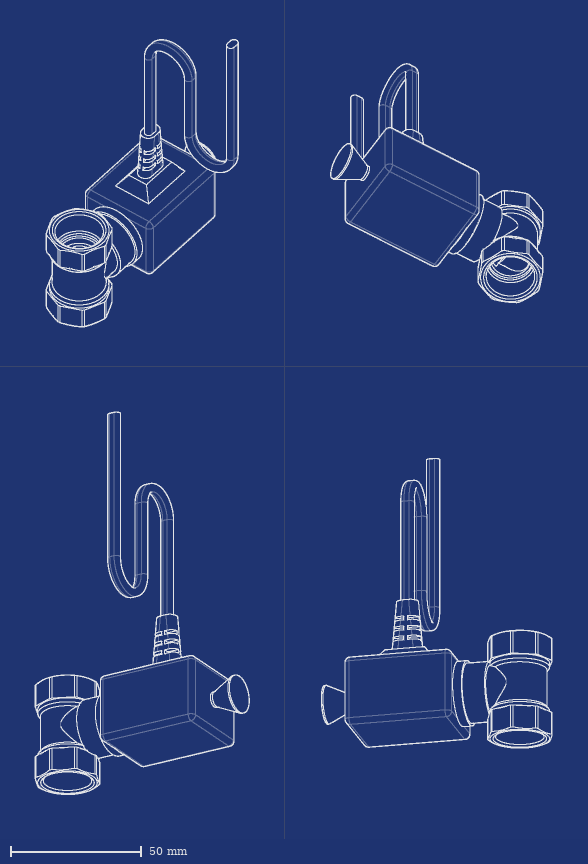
import cadquery as cq
import math


valve_height = 40.0
mid_z = valve_height / 2
body_diameter = 20.8
socket_height = 9.5
socket_flats = 23.7
socket_corner_diameter = 25.3
socket_rim_diameter = 22.8
socket_rim_drop = 0.6
collar_diameter = 22.8
collar_height = 1.7
collar_taper = 1.2
branch_diameter = 20.0
branch_end = 11.0

mouth_diameter = 20.5
mouth_chamfer = 0.8
bore_diameter = 18.6
bore_depth = 9.4
step_diameter = 17.0
step_taper = 0.6
step_end = 11.4
passage_diameter = 15.0
seat_diameter = 15.5
seat_end = 1.9
port_diameter = 12.0
web_half_height = 5.8
channel_diameter = 10.0

sleeve_diameter = 23.2
sleeve_flange_diameter = 25.2
sleeve_flange_start = 19.9

housing_start = 23.3
housing_width = 32.4
housing_length = 42.0
housing_height = 27.1
housing_fillet = 2.0
housing_mid_y = housing_start + housing_length / 2
housing_end = housing_start + housing_length
housing_top = mid_z + housing_height / 2
pedestal_base_width = 16.0
pedestal_base_length = 22.7
pedestal_top_width = 8.5
pedestal_top_length = 15.7
pedestal_height = 5.3
pedestal_top = housing_top + pedestal_height

knob_stem_diameter = 6.0
knob_stem_length = 0.9
knob_diameter = 15.0
knob_rim = 0.6
knob_length = 11.1

relief_width = 6.0
relief_base_length = 12.1
relief_top_length = 8.5
relief_height = 20.0
relief_top = pedestal_top + relief_height
relief_rib = 1.4
slot_height = 1.5
slot_pitch = 4.0
slot_start = 3.9
slot_count = 3

cable_width = 3.4
cable_length = 5.3
cable_end_z = 129.0
first_bend_radius = 9.7
second_bend_radius = 10.2
first_bend_z = 99.0
second_bend_z = 69.1


def cylinder_y(diameter, start, end):
    """Cylinder along +Y, level with the middle of the valve."""
    plane = cq.Workplane("XZ", origin=(0, start, mid_z))
    return plane.circle(diameter / 2).extrude(start - end)


def flat_oval(plane, length, width):
    """Outline with straight sides along Y and round ends."""
    return plane.slot2D(length, width, 90)


def make_lower_socket():
    """Octagonal socket with turned corners and a tapered collar above it."""
    across_corners = socket_flats / math.cos(math.pi / 8)
    octagon = cq.Workplane("XY").polygon(8, across_corners).extrude(socket_height)
    corner_radius = socket_corner_diameter / 2
    turned = (
        cq.Workplane("XZ")
        .moveTo(0, 0)
        .lineTo(socket_rim_diameter / 2, 0)
        .lineTo(corner_radius, socket_rim_drop)
        .lineTo(corner_radius, socket_height)
        .lineTo(0, socket_height)
        .close()
        .revolve(360, (0, 0), (0, 1))
    )
    collar_top = socket_height + collar_height
    collar = (
        cq.Workplane("XZ")
        .moveTo(0, socket_height)
        .lineTo(collar_diameter / 2, socket_height)
        .lineTo(collar_diameter / 2, collar_top)
        .lineTo(body_diameter / 2, collar_top + collar_taper)
        .lineTo(0, collar_top + collar_taper)
        .close()
        .revolve(360, (0, 0), (0, 1))
    )
    return octagon.intersect(turned).union(collar)


def make_lower_bore():
    """Chamfered bore that tapers to a step and then narrows to the passage up to mid height."""
    return (
        cq.Workplane("XZ")
        .moveTo(0, 0)
        .lineTo(mouth_diameter / 2, 0)
        .lineTo(bore_diameter / 2, mouth_chamfer)
        .lineTo(bore_diameter / 2, bore_depth)
        .lineTo(step_diameter / 2, bore_depth + step_taper)
        .lineTo(step_diameter / 2, step_end)
        .lineTo(passage_diameter / 2, step_end)
        .lineTo(passage_diameter / 2, mid_z)
        .lineTo(0, mid_z)
        .close()
        .revolve(360, (0, 0), (0, 1))
    )


def make_web():
    """Material left inside the passage: a round seat block and a flat web with a port and channel."""
    inside = cq.Workplane("XY").circle(passage_diameter / 2).extrude(valve_height)
    seat = cylinder_y(seat_diameter, -passage_diameter, seat_end)
    web = (
        cq.Workplane("XY", origin=(0, seat_end + passage_diameter / 2, mid_z))
        .box(2 * passage_diameter, passage_diameter, 2 * web_half_height)
    )
    port_round = cq.Workplane("XY", origin=(0, 0, mid_z)).circle(port_diameter / 2)
    port_slot = cq.Workplane("XY", origin=(0, 0, mid_z)).rect(channel_diameter, 2 * port_diameter)
    port = port_round.extrude(web_half_height).intersect(port_slot.extrude(web_half_height))
    channel_limit = cq.Workplane("XY").circle(port_diameter / 2).extrude(valve_height)
    channel = cylinder_y(channel_diameter, seat_end, port_diameter / 2).intersect(channel_limit)
    return web.cut(port).cut(channel).union(seat).intersect(inside)


def both_ends(lower):
    """The lower feature together with its mirror image at the upper end."""
    return lower.union(lower.mirror("XY", (0, 0, mid_z)))


def make_valve():
    body = cq.Workplane("XY").circle(body_diameter / 2).extrude(valve_height)
    branch = cylinder_y(branch_diameter, 0, branch_end)
    outside = body.union(branch).union(both_ends(make_lower_socket()))
    return outside.cut(both_ends(make_lower_bore())).union(make_web())


def make_sleeve(valve):
    """Flanged sleeve, relieved where the valve sockets reach into it."""
    tube = cylinder_y(sleeve_diameter, branch_end, housing_start)
    flange = cylinder_y(sleeve_flange_diameter, sleeve_flange_start, housing_start)
    return tube.union(flange).cut(valve)


def make_housing():
    block = (
        cq.Workplane("XY", origin=(0, housing_mid_y, mid_z))
        .box(housing_width, housing_length, housing_height)
        .edges()
        .fillet(housing_fillet)
    )
    pedestal = (
        cq.Workplane("XY", origin=(0, housing_mid_y, housing_top))
        .rect(pedestal_base_width, pedestal_base_length)
        .workplane(offset=pedestal_height)
        .rect(pedestal_top_width, pedestal_top_length)
        .loft(ruled=True)
    )
    return block.union(pedestal)


def make_knob():
    knob_end = housing_end + knob_length
    stem_end = housing_end + knob_stem_length
    return (
        cq.Workplane("XY", origin=(0, 0, mid_z))
        .moveTo(0, housing_end)
        .lineTo(knob_stem_diameter / 2, housing_end)
        .lineTo(knob_stem_diameter / 2, stem_end)
        .lineTo(knob_diameter / 2, knob_end - knob_rim)
        .lineTo(knob_diameter / 2, knob_end)
        .lineTo(0, knob_end)
        .close()
        .revolve(360, (0, 0), (0, 1))
    )


def make_strain_relief():
    """Tapered oval with rows of slots, each row broken by a cross of ribs."""
    base = cq.Workplane("XY", origin=(0, housing_mid_y, pedestal_top))
    lower = flat_oval(base, relief_base_length, relief_width).workplane(offset=relief_height)
    relief = flat_oval(lower, relief_top_length, relief_width).loft(ruled=True)
    for row in range(slot_count):
        slot_z = pedestal_top + slot_start + row * slot_pitch
        level = cq.Workplane("XY", origin=(0, housing_mid_y, slot_z))
        slab = level.rect(relief_base_length, relief_base_length).extrude(slot_height)
        rib_along_y = level.rect(relief_rib, relief_base_length).extrude(slot_height)
        rib_along_x = level.rect(relief_base_length, relief_rib).extrude(slot_height)
        relief = relief.cut(slab.cut(rib_along_y).cut(rib_along_x))
    return relief


def make_cable():
    """Flat cable that rises, bends over, bends back and rises again."""
    down_x = 2 * first_bend_radius
    up_x = down_x + 2 * second_bend_radius
    path = (
        cq.Workplane("XZ", origin=(0, housing_mid_y, 0))
        .moveTo(0, relief_top)
        .lineTo(0, first_bend_z)
        .threePointArc((first_bend_radius, first_bend_z + first_bend_radius), (down_x, first_bend_z))
        .lineTo(down_x, second_bend_z)
        .threePointArc(
            (down_x + second_bend_radius, second_bend_z - second_bend_radius), (up_x, second_bend_z)
        )
        .lineTo(up_x, cable_end_z)
    )
    start = cq.Workplane("XY", origin=(0, housing_mid_y, relief_top))
    return flat_oval(start, cable_length, cable_width).sweep(path)


valve = make_valve()
sleeve = make_sleeve(valve)
housing = make_housing()
knob = make_knob()
strain_relief = make_strain_relief()
cable = make_cable()

bodies = [valve, sleeve, housing, knob, strain_relief, cable]
result = cq.Compound.makeCompound([body.solids().val() for body in bodies])